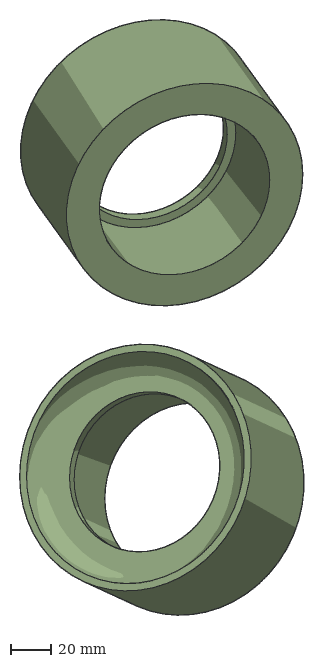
import cadquery as cq

length = 69.0
outer_radius = 125 / 2
lip_bore_radius = 81.0 / 2
rear_bore_radius = 90 / 2
mouth_wall = 3.8
cove_radius = 12.0
lip_thickness = 6.0

front = -length / 2
rear = length / 2
mouth_radius = outer_radius - mouth_wall
floor_radius = mouth_radius - cove_radius
floor_x = front + cove_radius
lip_rear_x = floor_x + lip_thickness
arc_ratio = 0.5 ** 0.5

cove_middle = (front + cove_radius * arc_ratio, floor_radius + cove_radius * arc_ratio)

section = (
    cq.Workplane("XY")
    .moveTo(front, outer_radius)
    .lineTo(front, mouth_radius)
    .threePointArc(cove_middle, (floor_x, floor_radius))
    .lineTo(floor_x, lip_bore_radius)
    .lineTo(lip_rear_x, lip_bore_radius)
    .lineTo(lip_rear_x, rear_bore_radius)
    .lineTo(rear, rear_bore_radius)
    .lineTo(rear, outer_radius)
    .close()
)

result = section.revolve(360, (0, 0, 0), (1, 0, 0))